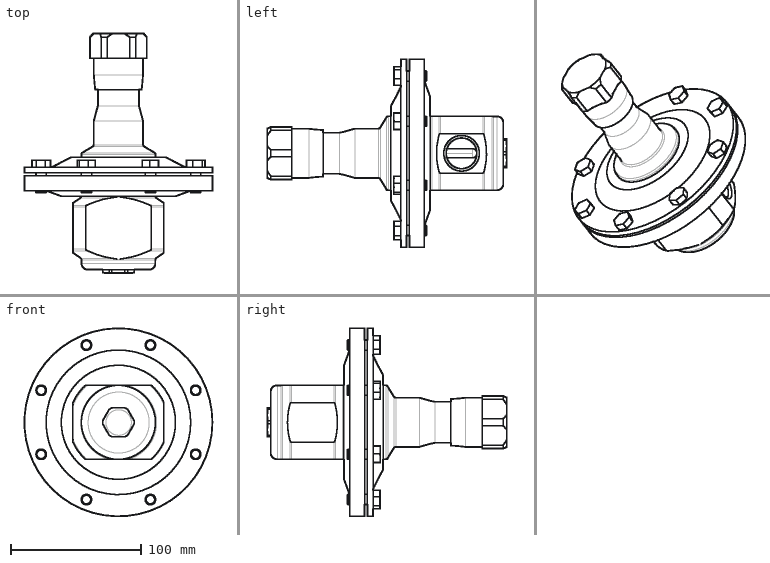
import cadquery as cq
import math


EDGE_TOLERANCE = 0.01

OVERALL_LENGTH = 184.53

FLANGE_RADIUS = 144.78 / 2
BODY_FLANGE_BACK = -11.7
BODY_CONE_BASE_RADIUS = 55.6
BODY_CONE_TOP_RADIUS = 43.9
BODY_CONE_TOP = -16.0
DRUM_RADIUS = 55.6
BONNET_FLANGE_FRONT = 2.0
BONNET_FLANGE_BACK = 6.5

BONNET_CONE_BASE_RADIUS = 51.3
BONNET_CONE_TOP_RADIUS = 36.4
BONNET_CONE_TOP = 14.2
STEM_RADIUS = 19.05
SHOULDER_RADIUS = 28.575
SHOULDER_CONE_START = 17.2
SHOULDER_CONE_END = 22.9
SHOULDER_FILLET = 1.7
TAPER_START = 42.0
TAPER_END = 53.7
WAIST_RADIUS = 15.875
KNOB_START = 66.2
KNOB_START_RADIUS = 18.0
KNOB_CYLINDER_START = 77.5
COLLAR_START = 90.2
COLLAR_END = 109.4

COLLAR_RADIUS = 22.0
COLLAR_END_RADIUS = 19.5
COLLAR_CHAMFER_LENGTH = 3.0
SCALLOP_COUNT = 6
SCALLOP_RADIUS = 26.0
SCALLOP_FLOOR_RADIUS = 18.8

BARREL_RADIUS = 38.1
BODY_WIDTH = 69.85
BODY_HEIGHT = 57.15
NECK_RADIUS = 28.5
BARREL_CONE_START = -16.7
BARREL_START = -23.1
BARREL_END = -57.2
BARREL_CONE_END = -63.9
BARREL_FILLET = 1.6
CAP_END = -72.4
CAP_FILLET = 5.0

PLUG_ACROSS_FLATS = 22.225
PLUG_CORNER_RADIUS = 12.2
PLUG_FACE_RADIUS = 9.8
PLUG_CROWN_HEIGHT = 0.6
PLUG_END = COLLAR_END - OVERALL_LENGTH
PLUG_CORNER_ANGLE = 0

PORT_Y = -40.2
PORT_RADIUS = 11.8
PORT_MOUTH_RADIUS = 13.7
PORT_FLOOR_X = 0.0
GROOVE_RADIUS = 3.6
GROOVE_BALL_Y = -48.4

BOLT_COUNT = 8
BOLT_CIRCLE_RADIUS = 64.3
BOLT_FIRST_ANGLE = 180 / BOLT_COUNT
BOLT_RADIUS = 3.97
BOLT_TIP = -13.3
BOLT_TIP_CHAMFER = 0.6
BOLT_HEAD_ACROSS_FLATS = 12.5
BOLT_HEAD_END = 11.9
BOLT_HEAD_TWIST = 25.0


def turned(profile):
    """Revolve an (r, y) outline, a closed sketch in the XY plane, about the Y axis."""
    return profile.close().revolve(360, (0, 0, 0), (0, 1, 0))


def cylinder(radius, y_start, y_end):
    """Cylinder on the Y axis."""
    return turned(
        cq.Workplane("XY").moveTo(0, y_start).lineTo(radius, y_start).lineTo(radius, y_end).lineTo(0, y_end)
    )


def hex_prism(across_flats, y_start, y_end, turn):
    """Hexagonal prism on the Y axis with a corner `turn` degrees from +X toward +Z."""
    corner_circle = across_flats / math.cos(math.radians(30))
    prism = cq.Workplane("XZ", origin=(0, y_end, 0)).polygon(6, corner_circle).extrude(y_end - y_start)
    return prism.rotate((0, 0, 0), (0, 1, 0), -turn)


def fillet_circles(solid, positions, radius):
    """Fillet the circular edges on the Y axis that lie at the given Y positions."""

    def lies_at_position(edge):
        bounds = edge.BoundingBox()
        return any(max(abs(bounds.ymin - y), abs(bounds.ymax - y)) < EDGE_TOLERANCE for y in positions)

    return solid.newObject(solid.edges().filter(lies_at_position).vals()).fillet(radius)


def make_flanges():
    outline = (
        cq.Workplane("XY")
        .moveTo(0, BODY_CONE_TOP)
        .lineTo(BODY_CONE_TOP_RADIUS, BODY_CONE_TOP)
        .lineTo(BODY_CONE_BASE_RADIUS, BODY_FLANGE_BACK)
        .lineTo(FLANGE_RADIUS, BODY_FLANGE_BACK)
        .lineTo(FLANGE_RADIUS, 0)
        .lineTo(DRUM_RADIUS, 0)
        .lineTo(DRUM_RADIUS, BONNET_FLANGE_FRONT)
        .lineTo(FLANGE_RADIUS, BONNET_FLANGE_FRONT)
        .lineTo(FLANGE_RADIUS, BONNET_FLANGE_BACK)
        .lineTo(BONNET_CONE_BASE_RADIUS, BONNET_FLANGE_BACK)
        .lineTo(BONNET_CONE_TOP_RADIUS, BONNET_CONE_TOP)
        .lineTo(0, BONNET_CONE_TOP)
    )
    return turned(outline)


def make_stem():
    outline = (
        cq.Workplane("XY")
        .moveTo(0, 0)
        .lineTo(SHOULDER_RADIUS, 0)
        .lineTo(SHOULDER_RADIUS, SHOULDER_CONE_START)
        .lineTo(STEM_RADIUS, SHOULDER_CONE_END)
        .lineTo(STEM_RADIUS, TAPER_START)
        .lineTo(WAIST_RADIUS, TAPER_END)
        .lineTo(WAIST_RADIUS, KNOB_START)
        .lineTo(KNOB_START_RADIUS, KNOB_START)
        .lineTo(STEM_RADIUS, KNOB_CYLINDER_START)
        .lineTo(STEM_RADIUS, COLLAR_START)
        .lineTo(0, COLLAR_START)
    )
    return fillet_circles(turned(outline), [SHOULDER_CONE_START, SHOULDER_CONE_END], SHOULDER_FILLET)


def make_collar():
    outline = (
        cq.Workplane("XY")
        .moveTo(0, COLLAR_START)
        .lineTo(COLLAR_RADIUS, COLLAR_START)
        .lineTo(COLLAR_RADIUS, COLLAR_END - COLLAR_CHAMFER_LENGTH)
        .lineTo(COLLAR_END_RADIUS, COLLAR_END)
        .lineTo(0, COLLAR_END)
    )
    collar = turned(outline)
    scallop_axis_distance = SCALLOP_FLOOR_RADIUS + SCALLOP_RADIUS
    cutter = cylinder(SCALLOP_RADIUS, COLLAR_START, COLLAR_END).translate((0, 0, scallop_axis_distance))
    for i in range(SCALLOP_COUNT):
        collar = collar.cut(cutter.rotate((0, 0, 0), (0, 1, 0), i * 360 / SCALLOP_COUNT))
    return collar


def make_body():
    outline = (
        cq.Workplane("XY")
        .moveTo(0, BODY_FLANGE_BACK)
        .lineTo(NECK_RADIUS, BODY_FLANGE_BACK)
        .lineTo(NECK_RADIUS, BARREL_CONE_START)
        .lineTo(BARREL_RADIUS, BARREL_START)
        .lineTo(BARREL_RADIUS, BARREL_END)
        .lineTo(NECK_RADIUS, BARREL_CONE_END)
        .lineTo(NECK_RADIUS, CAP_END)
        .lineTo(0, CAP_END)
    )
    barrel_edges = [BARREL_CONE_START, BARREL_START, BARREL_END, BARREL_CONE_END]
    body = fillet_circles(turned(outline), barrel_edges, BARREL_FILLET)
    body = fillet_circles(body, [CAP_END], CAP_FILLET)
    length = BODY_FLANGE_BACK - CAP_END
    middle = (BODY_FLANGE_BACK + CAP_END) / 2
    flats = cq.Workplane("XY").box(BODY_WIDTH, length, BODY_HEIGHT).translate((0, middle, 0))
    return body.intersect(flats)


def make_plug():
    crown_start = PLUG_END + PLUG_CROWN_HEIGHT
    outline = (
        cq.Workplane("XY")
        .moveTo(0, CAP_END)
        .lineTo(PLUG_CORNER_RADIUS, CAP_END)
        .lineTo(PLUG_CORNER_RADIUS, crown_start)
        .lineTo(PLUG_FACE_RADIUS, PLUG_END)
        .lineTo(0, PLUG_END)
    )
    return turned(outline).intersect(hex_prism(PLUG_ACROSS_FLATS, PLUG_END, CAP_END, PLUG_CORNER_ANGLE))


def make_port():
    """Material removed for the port, its 45-degree mouth and the groove in its floor."""
    face_x = -BODY_WIDTH / 2
    mouth_depth = PORT_MOUTH_RADIUS - PORT_RADIUS
    outline = (
        cq.Workplane("XY")
        .moveTo(PORT_FLOOR_X, PORT_Y)
        .lineTo(PORT_FLOOR_X, PORT_Y + PORT_RADIUS)
        .lineTo(face_x + mouth_depth, PORT_Y + PORT_RADIUS)
        .lineTo(face_x, PORT_Y + PORT_MOUTH_RADIUS)
        .lineTo(face_x, PORT_Y)
        .close()
    )
    port = outline.revolve(360, (0, PORT_Y, 0), (1, PORT_Y, 0))
    groove = cylinder(GROOVE_RADIUS, GROOVE_BALL_Y, PORT_Y + PORT_RADIUS)
    ball = cq.Workplane("XY").sphere(GROOVE_RADIUS).translate((0, GROOVE_BALL_Y, 0))
    return port.union(groove.union(ball).translate((PORT_FLOOR_X, 0, 0)))


def make_bolt():
    shank = cylinder(BOLT_RADIUS, BOLT_TIP, BONNET_FLANGE_BACK).faces("<Y").chamfer(BOLT_TIP_CHAMFER)
    head = hex_prism(BOLT_HEAD_ACROSS_FLATS, BONNET_FLANGE_BACK, BOLT_HEAD_END, BOLT_HEAD_TWIST)
    return shank.union(head).translate((BOLT_CIRCLE_RADIUS, 0, 0))


def add_bolts(solid):
    bolt = make_bolt()
    for i in range(BOLT_COUNT):
        angle = BOLT_FIRST_ANGLE + i * 360 / BOLT_COUNT
        solid = solid.union(bolt.rotate((0, 0, 0), (0, 1, 0), -angle))
    return solid


housing = make_flanges().union(make_stem()).union(make_collar()).union(make_body()).union(make_plug())
result = add_bolts(housing.cut(make_port()))